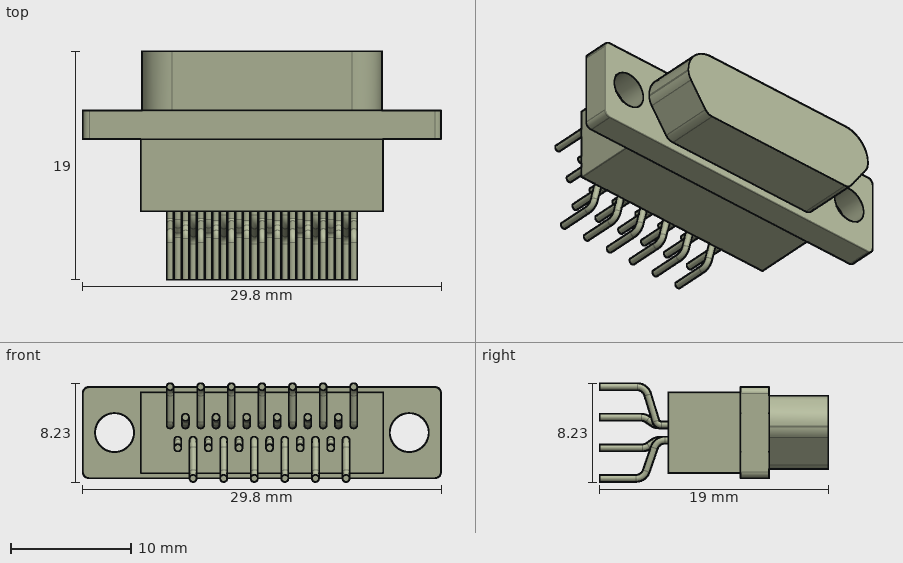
import cadquery as cq
import math

flange_length = 29.8
flange_height = 7.6
flange_depth = 2.38
flange_corner_radius = 0.55
edge_radius = 0.045
hole_diameter = 3.22
hole_spacing = 24.5

body_length = 20.15
body_height = 6.73
body_depth = 6.02

shell_length = 19.97
shell_top_height = 3.07
shell_bottom_height = 3.05
shell_depth = 4.92
shell_top_radius = 2.5
shell_side_radius = 1.5
shell_bottom_radius = 0.9
shell_side_flat = 0.1
shell_taper = 35.0

wire_diameter = 0.6
wire_reach = 5.7
wire_embed = 0.3
upper_wire_count = 13
lower_wire_count = 12
upper_row_length = 15.25
bend_radius = 0.92
tight_bend_radius = 0.48

wire_pitch = upper_row_length / (upper_wire_count - 1)
root_height = wire_pitch / 2
near_height = wire_pitch
far_height = 3 * wire_pitch

body_back_y = -body_depth
shell_end_y = flange_depth + shell_depth


def make_flange():
    flange = (
        cq.Workplane("XY")
        .box(flange_length, flange_depth, flange_height, centered=(True, False, True))
        .edges("|Y")
        .fillet(flange_corner_radius)
        .faces("<Y or >Y")
        .edges()
        .fillet(edge_radius)
    )
    holes = (
        cq.Workplane("XZ")
        .pushPoints([(-hole_spacing / 2, 0), (hole_spacing / 2, 0)])
        .circle(hole_diameter / 2)
        .extrude(-flange_depth)
    )
    return flange.cut(holes)


def make_body():
    return (
        cq.Workplane("XY")
        .box(body_length, body_depth, body_height, centered=(True, False, True))
        .translate((0, body_back_y, 0))
        .edges("|Y or <Y")
        .fillet(edge_radius)
    )


def arc_point(center, radius, degrees):
    angle = math.radians(degrees)
    return (center[0] + radius * math.cos(angle), center[1] + radius * math.sin(angle))


def make_shell():
    """D-shaped shell: broad rounded top corners, lower flanks leaning inwards."""
    taper = math.radians(shell_taper)
    half_length = shell_length / 2
    top = shell_top_height
    bottom = -shell_bottom_height

    top_center = (half_length - shell_top_radius, top - shell_top_radius)
    side_center = (half_length - shell_side_radius, top_center[1] - shell_side_flat)
    flank_top = arc_point(side_center, shell_side_radius, -shell_taper)

    bottom_center_z = bottom + shell_bottom_radius
    flank_bottom_z = bottom_center_z - shell_bottom_radius * math.sin(taper)
    flank_bottom_x = flank_top[0] - (flank_top[1] - flank_bottom_z) * math.tan(taper)
    bottom_center = (flank_bottom_x - shell_bottom_radius * math.cos(taper), bottom_center_z)

    half_profile = (
        cq.Workplane("XZ")
        .moveTo(0, top)
        .lineTo(top_center[0], top)
        .threePointArc(
            arc_point(top_center, shell_top_radius, 45),
            arc_point(top_center, shell_top_radius, 0),
        )
        .lineTo(half_length, side_center[1])
        .threePointArc(arc_point(side_center, shell_side_radius, -shell_taper / 2), flank_top)
        .lineTo(flank_bottom_x, flank_bottom_z)
        .threePointArc(
            arc_point(bottom_center, shell_bottom_radius, -(90 + shell_taper) / 2),
            (bottom_center[0], bottom),
        )
        .lineTo(0, bottom)
        .mirrorY()
    )
    return half_profile.extrude(-shell_end_y)


def make_wire(x, direction, tip_height, lead, slope, first_radius):
    """Round wire leaving the body, bending away from the centre plane, then running straight.

    direction is +1 for the upper row and -1 for the lower; lead is the straight
    length before the first bend and slope the angle of the inclined leg.
    """
    slope_rad = math.radians(slope)
    sine = math.sin(slope_rad)
    cosine = math.cos(slope_rad)
    half_sine = math.sin(slope_rad / 2)
    half_cosine = math.cos(slope_rad / 2)

    def at(distance, height):
        return (body_back_y - distance, direction * height)

    leg_start = (lead + first_radius * sine, root_height + first_radius * (1 - cosine))
    leg_end_height = tip_height - bend_radius * (1 - cosine)
    leg_end = (leg_start[0] + (leg_end_height - leg_start[1]) * cosine / sine, leg_end_height)
    run_start = leg_end[0] + bend_radius * sine

    first_middle = (lead + first_radius * half_sine, root_height + first_radius * (1 - half_cosine))
    second_middle = (run_start - bend_radius * half_sine, tip_height - bend_radius * (1 - half_cosine))

    path = (
        cq.Workplane("YZ", origin=(x, 0, 0))
        .moveTo(*at(-wire_embed, root_height))
        .lineTo(*at(lead, root_height))
        .threePointArc(at(*first_middle), at(*leg_start))
        .lineTo(*at(*leg_end))
        .threePointArc(at(*second_middle), at(run_start, tip_height))
        .lineTo(*at(wire_reach, tip_height))
    )
    return (
        cq.Workplane("XZ", origin=(x, body_back_y + wire_embed, direction * root_height))
        .circle(wire_diameter / 2)
        .sweep(path)
    )


def make_wire_row(count, direction, bends):
    """One row of wires; the two bend styles alternate along it."""
    wires = []
    for index in range(count):
        x = (index - (count - 1) / 2) * wire_pitch
        wires.append(make_wire(x, direction, *bends[index % 2]))
    return wires


upper_far = (far_height, 0.57, 73.0, tight_bend_radius)
upper_near = (near_height, 0.75, 35.0, bend_radius)
lower_near = (near_height, 0.65, 35.0, bend_radius)
lower_far = (far_height, 0.27, 71.0, bend_radius)

result = make_flange().union(make_body()).union(make_shell())
for wire in make_wire_row(upper_wire_count, 1, (upper_far, upper_near)):
    result = result.union(wire)
for wire in make_wire_row(lower_wire_count, -1, (lower_near, lower_far)):
    result = result.union(wire)